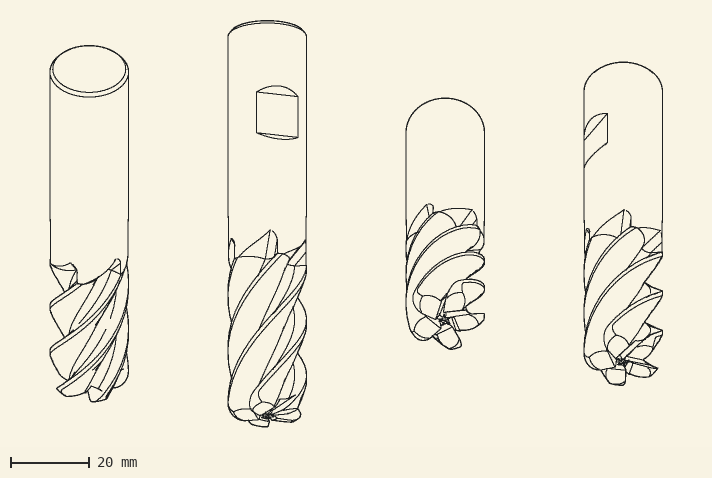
import cadquery as cq
import math

total_length = 104.0
shank_radius = 10.0
neck_radius = 9.9
cut_length = 41.0
shank_start = 54.3
shoulder_height = 0.5
top_chamfer_width = 0.7
top_chamfer_height = 0.9

flat_centre_z = 79.0
flat_length = 11.0
flat_depth = 1.7

tooth_count = 5
tooth_pitch = 360 / tooth_count
helix_lead = 74.9
twist_per_length = 360 / helix_lead
first_edge_angle = 34.0
land_angle = 8.0
back_mid_radius = 8.1
back_mid_angle = 29.0
core_radius = 5.2
core_angle = 51.5
root_mid_radius = 5.6
root_mid_angle = 64.0
rake_root_radius = 7.0
corner_radius = 4.2

gash_height = 3.6
gash_floor = -1.0
gash_centre_height = 0.9
gash_climb = 0.4
gash_lean = 0.65
gash_width = 1.5
gash_side_rise = 0.5
gash_offset = 1.6
gash_turn = 10.0
gash_angle = first_edge_angle + gash_height * twist_per_length - gash_turn

relief_angle = 15.5
relief_sector = 60.0
relief_start_angle = 36.0

runout_height = 7.3
runout_slope = 1.28
runout_outer_radius = 14.6
runout_start_angle = first_edge_angle + cut_length * twist_per_length


def polar(radius, angle):
    """Point in the XY plane at a radius and an angle in degrees."""
    return (radius * math.cos(math.radians(angle)), radius * math.sin(math.radians(angle)))


def around_axis(tool, start_angle):
    """Copies of a tool, one per tooth, the first turned to the start angle."""
    return [
        tool.rotate((0, 0, 0), (0, 0, 1), start_angle + tooth * tooth_pitch)
        for tooth in range(tooth_count)
    ]


def add_flute_floor(outline, edge):
    """Continue an outline from a tooth's heel down its bulging back and through the hollow root."""
    return outline.threePointArc(
        polar(back_mid_radius, edge + back_mid_angle),
        polar(core_radius, edge + core_angle),
    ).threePointArc(
        polar(root_mid_radius, edge + root_mid_angle),
        polar(rake_root_radius, edge + tooth_pitch),
    )


def twisted_teeth():
    """All teeth as one helical solid: each has a narrow land, a back, a root and a radial rake wall."""
    section = cq.Workplane("XY").moveTo(*polar(shank_radius, first_edge_angle))
    for tooth in range(tooth_count):
        edge = first_edge_angle + tooth * tooth_pitch
        if tooth > 0:
            section = section.lineTo(*polar(shank_radius, edge))
        section = section.threePointArc(
            polar(shank_radius, edge + land_angle / 2),
            polar(shank_radius, edge + land_angle),
        )
        section = add_flute_floor(section, edge)
    return section.close().twistExtrude(cut_length, cut_length * twist_per_length)


def gash_outline(x):
    """Cross-section of the gash at a distance x from the axis; the top climbs with x."""
    top = gash_centre_height + gash_climb * x
    top_y = gash_offset + (top - gash_height) * gash_lean
    floor_y = gash_offset + (gash_floor - gash_height) * gash_lean
    return cq.Wire.makePolygon(
        [
            cq.Vector(x, floor_y, gash_floor),
            cq.Vector(x, top_y, top),
            cq.Vector(x, top_y - gash_width, top + gash_side_rise),
            cq.Vector(x, floor_y - gash_width, gash_floor),
        ],
        close=True,
    )


def gash_tool():
    """Leaning groove that runs outwards along +X."""
    return cq.Workplane(cq.Solid.makeLoft([gash_outline(0), gash_outline(shank_radius)], True))


def relief_tool():
    """Wedge under the tip that rises away from an end edge along +X, within one sector."""
    reach = 2 * shank_radius
    rise = reach * math.tan(math.radians(relief_angle))
    sector = cq.Workplane("XY").polyline([(0, 0), (reach, 0), polar(reach, relief_sector)]).close().extrude(rise)
    wedge = cq.Workplane("YZ").polyline([(0, 0), (reach, 0), (reach, rise)]).close().extrude(reach)
    return wedge.intersect(sector)


def make_cutter():
    """Helical teeth with rounded corners at the tip, gashed and relieved at the end."""
    envelope = cq.Workplane("XY").circle(shank_radius).extrude(cut_length)
    envelope = envelope.faces("<Z").edges().fillet(corner_radius)
    body = twisted_teeth().intersect(envelope)
    for tool in around_axis(gash_tool(), gash_angle):
        body = body.cut(tool)
    for tool in around_axis(relief_tool(), relief_start_angle):
        body = body.cut(tool)
    return body


def clamping_flat_tool():
    """Bar that cuts the flat, widening outwards at 45 degrees."""
    half_length = flat_length / 2
    floor_y = shank_radius - flat_depth
    outline = [
        (floor_y, flat_centre_z - half_length),
        (shank_radius, flat_centre_z - half_length - flat_depth),
        (shank_radius, flat_centre_z + half_length + flat_depth),
        (floor_y, flat_centre_z + half_length),
    ]
    return cq.Workplane("YZ").polyline(outline).close().extrude(shank_radius, both=True)


def runout_tool():
    """Flute hollow with its rake wall along +X, swept upwards and outwards until it leaves the neck."""
    heel_angle = land_angle - tooth_pitch
    hollow = cq.Workplane("XY").moveTo(*polar(shank_radius, heel_angle))
    hollow = add_flute_floor(hollow, -tooth_pitch)
    hollow = hollow.lineTo(runout_outer_radius, 0).lineTo(*polar(runout_outer_radius, heel_angle)).close()
    sweep = cq.Vector(runout_height / runout_slope, 0, runout_height)
    return cq.Workplane(cq.Solid.extrudeLinear(hollow.val(), [], sweep)).translate((0, 0, cut_length))


def make_shank():
    """Chamfered shank with its clamping flat and a slightly thinner neck where the flutes run out."""
    profile = [
        (0, cut_length),
        (neck_radius, cut_length),
        (neck_radius, shank_start),
        (shank_radius, shank_start + shoulder_height),
        (shank_radius, total_length - top_chamfer_height),
        (shank_radius - top_chamfer_width, total_length),
        (0, total_length),
    ]
    body = cq.Workplane("XZ").polyline(profile).close().revolve(360, (0, 0, 0), (0, 1, 0))
    body = body.cut(clamping_flat_tool())
    for tool in around_axis(runout_tool(), runout_start_angle):
        body = body.cut(tool)
    return body


shank = make_shank()
cutter = make_cutter()

result = cq.Compound.makeCompound([shank.solids().val(), cutter.solids().val()])